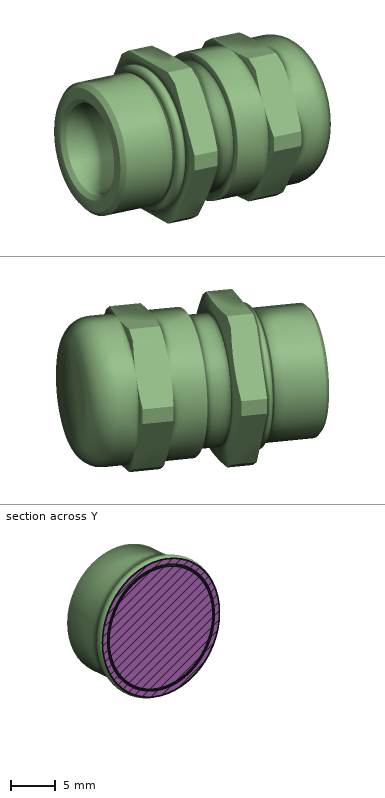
import cadquery as cq
import math

total_length = 28.0

thread_diameter = 15.2
thread_end = 6.47
thread_chamfer = 0.5
thread_relief_depth = 0.4

bore_diameter = 10.58
bore_chamfer = 0.48
bore_depth = 6.58

ring_outer_diameter = 16.72
ring_section_diameter = 1.25

body_hex_start = 8.0
body_hex_end = 11.5
body_hex_flats = 18.0
body_hex_corners = 19.77
body_hex_bevel_diameter = 16.13

neck_diameter = 15.05

cap_diameter = 17.0
cap_start = 14.5
cap_start_fillet = 0.15
dome_radius = 3.0
cap_hex_start = 18.5
cap_hex_end = 22.55
cap_hex_corners = 18.62

hex_bevel_angle = 15.0
bevel_clearance = 0.28
flats_square_to_x = 0
flats_square_to_z = 30


def cylinder(diameter, start, end):
    """Solid cylinder on the Y axis between two positions."""
    plane = cq.Workplane("XZ", origin=(0, start, 0))
    return plane.circle(diameter / 2).extrude(start - end)


def hexagon(flats, turn, start, end):
    """Hexagonal prism on the Y axis, turned about it by an angle in degrees."""
    plane = cq.Workplane("XZ", origin=(0, start, 0))
    prism = plane.polygon(6, flats, circumscribed=True).extrude(start - end)
    return prism.rotate((0, 0, 0), (0, 1, 0), turn)


def bevel_envelope(corners, start, end, start_bevel, end_bevel):
    """Disc that trims a hexagon; a bevel diameter of None leaves that end square."""
    outer = corners / 2 + bevel_clearance
    slope = math.tan(math.radians(hex_bevel_angle))
    points = [(0, start)]
    if start_bevel is None:
        points.append((outer, start))
    else:
        inner = start_bevel / 2
        points += [(inner, start), (outer, start + (outer - inner) * slope)]
    if end_bevel is None:
        points.append((outer, end))
    else:
        inner = end_bevel / 2
        points += [(outer, end - (outer - inner) * slope), (inner, end)]
    points.append((0, end))
    return cq.Workplane("XY").polyline(points).close().revolve(360, (0, 0, 0), (0, 1, 0))


def beveled_hex(flats, corners, start, end, start_bevel, end_bevel):
    """Hexagon with flattened corners and conical bevels on its end faces."""
    corner_flats = hexagon(corners, flats_square_to_x, start, end)
    envelope = bevel_envelope(corners, start, end, start_bevel, end_bevel)
    sharp_hex = hexagon(flats, flats_square_to_z, start, end)
    return sharp_hex.intersect(corner_flats).intersect(envelope)


def entry_thread():
    """Smooth spigot in place of the thread, with a relief groove under the sealing ring."""
    spigot = cylinder(thread_diameter, 0, thread_end + thread_relief_depth)
    spigot = spigot.faces("<Y").edges().chamfer(thread_chamfer)
    spigot = spigot.faces(">Y").edges().chamfer(thread_relief_depth)
    relief_diameter = thread_diameter - 2 * thread_relief_depth
    relief = cylinder(relief_diameter, thread_end, body_hex_start)
    return spigot.union(relief)


def sealing_ring():
    """Round-section ring resting on the flat face of the body hexagon."""
    section_radius = ring_section_diameter / 2
    center_radius = ring_outer_diameter / 2 - section_radius
    center_y = body_hex_start - section_radius
    section = cq.Workplane("XY").center(-center_radius, center_y).circle(section_radius)
    return section.revolve(360, (center_radius, 0, 0), (center_radius, 1, 0))


def cap_nut():
    """Domed cap with its hexagon partway along."""
    cap = cylinder(cap_diameter, cap_start, total_length)
    cap = cap.faces(">Y").edges().fillet(dome_radius)
    cap = cap.faces("<Y").edges().fillet(cap_start_fillet)
    cap_hex = beveled_hex(
        cap_diameter, cap_hex_corners, cap_hex_start, cap_hex_end, cap_diameter, cap_diameter
    )
    return cap.union(cap_hex)


def bore():
    """Blind bore and its chamfered mouth, as a cutting solid."""
    mouth_radius = bore_diameter / 2 + bore_chamfer
    mouth = cq.Workplane("XZ").circle(mouth_radius).workplane(offset=-bore_chamfer)
    mouth = mouth.circle(bore_diameter / 2).loft(ruled=True)
    return cylinder(bore_diameter, 0, bore_depth).union(mouth)


body_hex = beveled_hex(
    body_hex_flats, body_hex_corners, body_hex_start, body_hex_end, None, body_hex_bevel_diameter
)
neck = cylinder(neck_diameter, body_hex_end, cap_start)

result = (
    entry_thread()
    .union(sealing_ring())
    .union(body_hex)
    .union(neck)
    .union(cap_nut())
    .cut(bore())
)